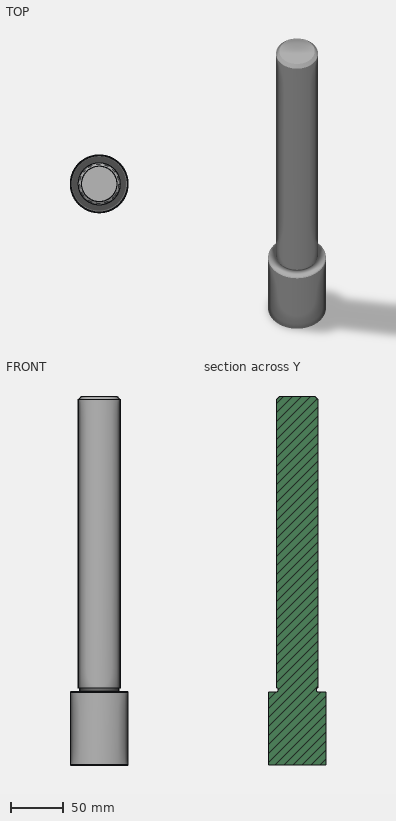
import cadquery as cq

total_height = 350.0
head_diameter = 55.0
head_height = 70.0
head_chamfer = 0.7
shaft_diameter = 40.0
tip_chamfer = 3.0

neck_depth = 1.5
neck_height = 3.0
foot_round = 0.7

head_radius = head_diameter / 2
shaft_radius = shaft_diameter / 2
neck_radius = shaft_radius - neck_depth
neck_top = head_height + neck_height

half_section = (
    cq.Workplane("XZ")
    .moveTo(0, 0)
    .lineTo(head_radius - head_chamfer, 0)
    .lineTo(head_radius, head_chamfer)
    .lineTo(head_radius, head_height - head_chamfer)
    .lineTo(head_radius - head_chamfer, head_height)
    .lineTo(neck_radius + foot_round, head_height)
    .radiusArc((neck_radius, head_height + foot_round), foot_round)
    .lineTo(neck_radius, neck_top)
    .lineTo(shaft_radius, neck_top)
    .lineTo(shaft_radius, total_height - tip_chamfer)
    .lineTo(shaft_radius - tip_chamfer, total_height)
    .lineTo(0, total_height)
    .close()
)

result = half_section.revolve(360, (0, 0, 0), (0, 1, 0))